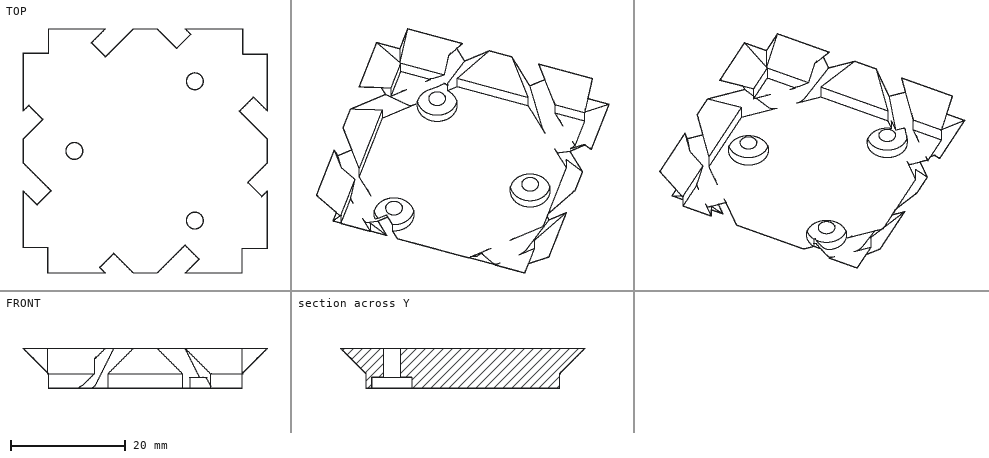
import cadquery as cq
import math

plate_size = 42.65
plate_height = 7.0
rim_height = 4.45
half_size = plate_size / 2
block_half = half_size - rim_height
block_height = plate_height - rim_height
rim_left_end = -17.05
rim_right_end = block_half

notch_wall_offset = 16.55
notch_width = 3.45
left_notch_floor = -8.8
right_notch_floor = -6.75
notch_reach = 19.2
floor_run_per_depth = 1 / math.sqrt(2)
floor_radius = 1.9

hole_diameter = 2.9
counterbore_diameter = 7.0
counterbore_depth = 1.9
hole_points = [(-12.37, 0), (8.65, 12.15), (8.65, -12.15)]

SIDE_COUNT = 4


def on_every_side(shape):
    """Return copies of a front-side shape turned onto all four sides."""
    step = 360 / SIDE_COUNT
    return [shape.rotate((0, 0, 0), (0, 0, 1), i * step) for i in range(SIDE_COUNT)]


def front_rim():
    """Triangular rim that flares outward at 45 degrees toward the top face."""
    return (
        cq.Workplane("YZ", origin=(rim_left_end, 0, 0))
        .moveTo(-block_half, block_height)
        .lineTo(-half_size, plate_height)
        .lineTo(-block_half, plate_height)
        .close()
        .extrude(rim_right_end - rim_left_end)
    )


def left_notch(floor_at_top):
    """Cutter with a floor that slopes inward with depth and rounds into the bottom face."""
    slope = math.atan(1 / floor_run_per_depth)
    arc_start_depth = plate_height - floor_radius * (1 - math.cos(slope))
    arc_start = floor_at_top + arc_start_depth * floor_run_per_depth
    arc_center = arc_start + floor_radius * math.sin(slope)
    arc_center_depth = plate_height - floor_radius
    arc_middle = (
        arc_center - floor_radius * math.sin(slope / 2),
        arc_center_depth + floor_radius * math.cos(slope / 2),
    )
    wall_coordinate = -notch_wall_offset / math.sqrt(2)
    notch_plane = cq.Plane(
        origin=(wall_coordinate, wall_coordinate, plate_height),
        xDir=(-1, 1, 0),
        normal=(-1, -1, 0),
    )
    return (
        cq.Workplane(notch_plane)
        .moveTo(-notch_reach, 0)
        .lineTo(floor_at_top, 0)
        .lineTo(arc_start, arc_start_depth)
        .threePointArc(arc_middle, (arc_center, plate_height))
        .lineTo(-notch_reach, plate_height)
        .close()
        .extrude(notch_width)
    )


def hole_cutter(x, y):
    """Through hole with a counterbore opening on the bottom face."""
    bore = cq.Workplane("XY").circle(hole_diameter / 2).extrude(plate_height)
    counterbore = cq.Workplane("XY").circle(counterbore_diameter / 2).extrude(counterbore_depth)
    return bore.union(counterbore).translate((x, y, 0))


block_size = 2 * block_half
result = cq.Workplane("XY").box(block_size, block_size, plate_height, centered=(True, True, False))
for rim in on_every_side(front_rim()):
    result = result.union(rim)

right_notch = left_notch(right_notch_floor).mirror("YZ")
for notch in on_every_side(left_notch(left_notch_floor)) + on_every_side(right_notch):
    result = result.cut(notch)

for x, y in hole_points:
    result = result.cut(hole_cutter(x, y))